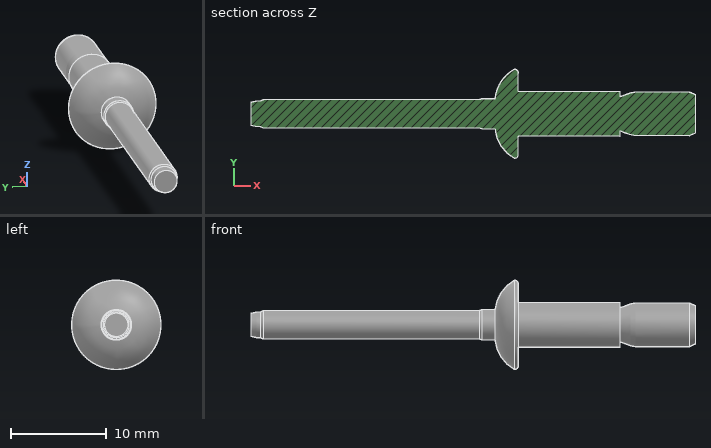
import cadquery as cq


stem_radius = 1.5
stem_tip_x = -27.92
tip_end_radius = 1.22
tip_step_radius = 1.35
tip_taper_length = 0.6
tip_land_length = 0.4
tip_shoulder_length = 0.3

collar_radius = 1.6
collar_length = 1.35
collar_taper_length = 0.27

head_radius = 4.675
head_height = 2.45
rim_radius = 0.42
dome_mid_radius = 3.48
dome_mid_x = -1.75

body_radius = 2.35
body_length = 10.6

mandrel_head_radius = 2.3
mandrel_end_x = 18.49
neck_radius = 1.8
neck_flare_radius = 2.2
neck_flare_length = 1.1
neck_shoulder_length = 0.55
end_bevel_length = 0.65
end_radius = 2.0


def turned(profile):
    """Close an outline onto the X axis and revolve it."""
    return profile.close().revolve(360, (0, 0, 0), (1, 0, 0))


def make_stem():
    """Mandrel stem with a stepped tip and a collar that runs into the head."""
    taper_end = stem_tip_x + tip_taper_length
    land_end = taper_end + tip_land_length
    collar_x = -head_height - collar_length
    return turned(
        cq.Workplane("XY")
        .moveTo(stem_tip_x, 0)
        .lineTo(stem_tip_x, tip_end_radius)
        .lineTo(taper_end, tip_step_radius)
        .lineTo(land_end, tip_step_radius)
        .lineTo(land_end + tip_shoulder_length, stem_radius)
        .lineTo(collar_x - collar_taper_length, stem_radius)
        .lineTo(collar_x, collar_radius)
        .lineTo(0, collar_radius)
        .lineTo(0, 0)
    )


def make_head():
    """Domed head whose rim is a quarter round down to the seating face."""
    return turned(
        cq.Workplane("XY")
        .moveTo(-head_height, 0)
        .lineTo(-head_height, collar_radius)
        .threePointArc((dome_mid_x, dome_mid_radius), (-rim_radius, head_radius))
        .radiusArc((0, head_radius - rim_radius), rim_radius)
        .lineTo(0, 0)
    )


def make_body():
    """Plain cylindrical sleeve."""
    return cq.Workplane("YZ").circle(body_radius).extrude(body_length)


def make_mandrel_head():
    """Bulb beyond the sleeve, with a flared neck and a bevelled end."""
    flare_end = body_length + neck_flare_length
    return turned(
        cq.Workplane("XY")
        .moveTo(0, 0)
        .lineTo(0, neck_radius)
        .lineTo(body_length, neck_radius)
        .lineTo(flare_end, neck_flare_radius)
        .lineTo(flare_end + neck_shoulder_length, mandrel_head_radius)
        .lineTo(mandrel_end_x - end_bevel_length, mandrel_head_radius)
        .lineTo(mandrel_end_x, end_radius)
        .lineTo(mandrel_end_x, 0)
    )


result = make_body().union(make_head()).union(make_stem()).union(make_mandrel_head())